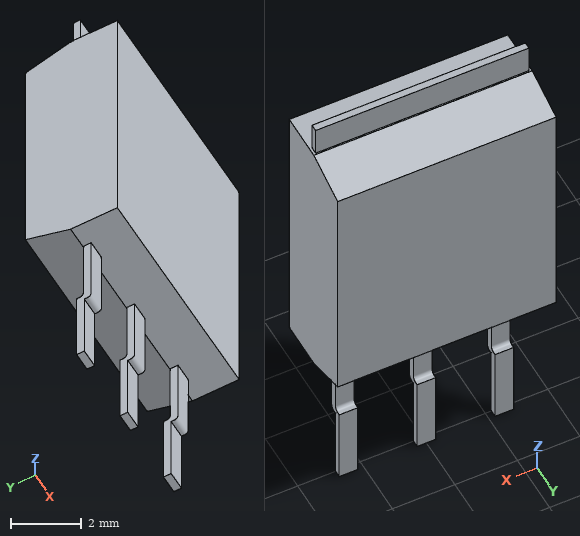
import cadquery as cq

housing_width = 7.0
housing_depth = 3.02
housing_height = 8.99
taper_depth = 1.49
taper_height = 0.5

tab_width = 6.83
tab_thickness = 0.23
tab_height = 0.98
tab_back_inset = 1.53

lead_count = 3
lead_pitch = 2.49
lead_width = 0.6
lead_thickness = 0.25
lead_back_inset = 1.5
jog_offset = 0.23
jog_top = 2.67
jog_thickness = 0.18
bend_radius = 0.14

overall_height = 15.01
housing_top = overall_height - tab_height
housing_bottom = housing_top - housing_height
taper_front = housing_depth - taper_depth


def extrude_side_profile(profile, width):
    """Extrude a closed YZ profile symmetrically about X = 0."""
    return profile.extrude(width / 2, both=True)


def make_housing():
    """Tapered block with its integral top tab."""
    block = extrude_side_profile(
        cq.Workplane("YZ").polyline([
            (0, housing_bottom),
            (taper_front, housing_bottom),
            (housing_depth, housing_bottom + taper_height),
            (housing_depth, housing_top - taper_height),
            (taper_front, housing_top),
            (0, housing_top),
        ]).close(),
        housing_width,
    )
    tab_front = housing_depth - tab_back_inset - tab_thickness
    tab = cq.Workplane("XY").box(
        tab_width, tab_thickness, tab_height, centered=(True, False, False)
    ).translate((0, tab_front, housing_top))
    return block.union(tab)


def make_lead(x_center):
    """Jogged strip hanging from the housing, with two rounded bends."""
    upper_back = housing_depth - lead_back_inset
    upper_front = upper_back - lead_thickness
    lower_back = upper_back + jog_offset
    lower_front = upper_front + jog_offset
    jog_bottom = jog_top - jog_thickness
    lead = extrude_side_profile(
        cq.Workplane("YZ")
        .moveTo(upper_front, housing_bottom)
        .lineTo(upper_front, jog_bottom + bend_radius)
        .radiusArc((upper_front + bend_radius, jog_bottom), -bend_radius)
        .lineTo(lower_front, jog_bottom)
        .lineTo(lower_front, 0)
        .lineTo(lower_back, 0)
        .lineTo(lower_back, jog_top)
        .lineTo(upper_back + bend_radius, jog_top)
        .radiusArc((upper_back, jog_top + bend_radius), bend_radius)
        .lineTo(upper_back, housing_bottom)
        .close(),
        lead_width,
    )
    return lead.translate((x_center, 0, 0))


housing = make_housing()

leads = []
for index in range(lead_count):
    lead_x = (index - (lead_count - 1) / 2) * lead_pitch
    leads.append(make_lead(lead_x))

result = cq.Compound.makeCompound([housing.val(), *[lead.val() for lead in leads]])